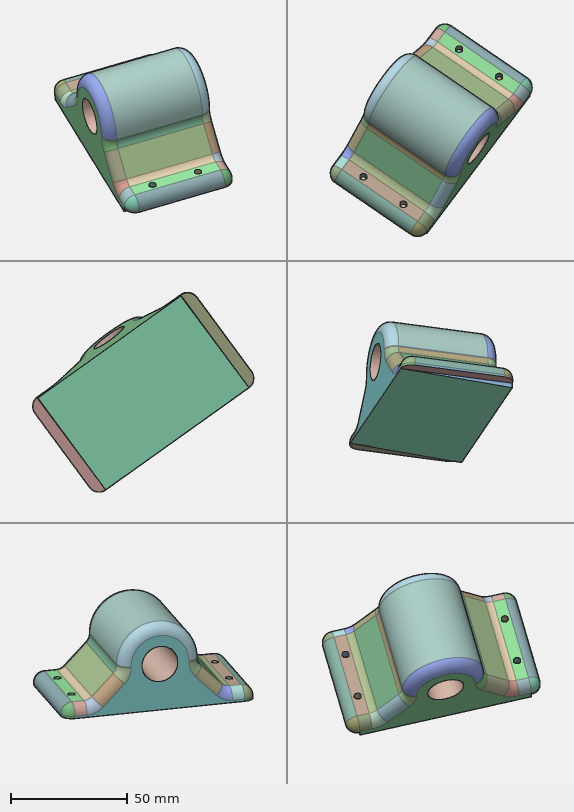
import cadquery as cq
import math

length = 86.0
width = 50.0
height = 41.2

taper_angle = 2.5
pad_depth = width * math.tan(math.radians(taper_angle))

housing_radius = 18.0
bore_radius = 8.0
bore_z = height - housing_radius

flange_thickness = 6.0
shoulder_foot_x = 30.5
flange_top_z = pad_depth + flange_thickness
shoulder_top_z = flange_top_z + shoulder_foot_x - housing_radius

edge_radius = 5.0
blend_setback = edge_radius * math.tan(math.radians(45 / 2))

mount_hole_diameter = 3.0
mount_hole_depth = 5.0
mount_hole_spacing = 21.15
flat_outer_x = length / 2 - edge_radius
flat_inner_x = shoulder_foot_x + blend_setback
mount_hole_x = (flat_outer_x + flat_inner_x) / 2


def make_body():
    """Extrude the saddle profile along Y and round its edges."""
    body = (
        cq.Workplane("XZ")
        .moveTo(-length / 2, pad_depth)
        .lineTo(-length / 2, flange_top_z)
        .lineTo(-shoulder_foot_x, flange_top_z)
        .lineTo(-housing_radius, shoulder_top_z)
        .lineTo(-housing_radius, bore_z)
        .threePointArc((0, height), (housing_radius, bore_z))
        .lineTo(housing_radius, shoulder_top_z)
        .lineTo(shoulder_foot_x, flange_top_z)
        .lineTo(length / 2, flange_top_z)
        .lineTo(length / 2, pad_depth)
        .close()
        .extrude(width / 2, both=True)
    )
    for side in (-1, 1):
        for x, z in ((shoulder_foot_x, flange_top_z), (housing_radius, shoulder_top_z)):
            corner = cq.selectors.NearestToPointSelector((side * x, 0, z))
            body = body.edges("|Y").edges(corner).fillet(edge_radius)
    body = body.edges("|Z and (<X or >X)").fillet(edge_radius)
    return body.faces("<Y").edges("not <Z").fillet(edge_radius)


def make_pad():
    """Wedge that tilts the seating face."""
    pad_length = length - 2 * edge_radius
    return (
        cq.Workplane("YZ")
        .moveTo(-width / 2, 0)
        .lineTo(width / 2, pad_depth)
        .lineTo(-width / 2, pad_depth)
        .close()
        .extrude(pad_length / 2, both=True)
    )


def make_bore():
    return (
        cq.Workplane("XZ")
        .center(0, bore_z)
        .circle(bore_radius)
        .extrude(width / 2, both=True)
    )


def make_mount_holes():
    return (
        cq.Workplane("XY", origin=(0, 0, flange_top_z))
        .rect(2 * mount_hole_x, mount_hole_spacing, forConstruction=True)
        .vertices()
        .circle(mount_hole_diameter / 2)
        .extrude(-mount_hole_depth)
    )


result = make_body().union(make_pad()).cut(make_bore()).cut(make_mount_holes())